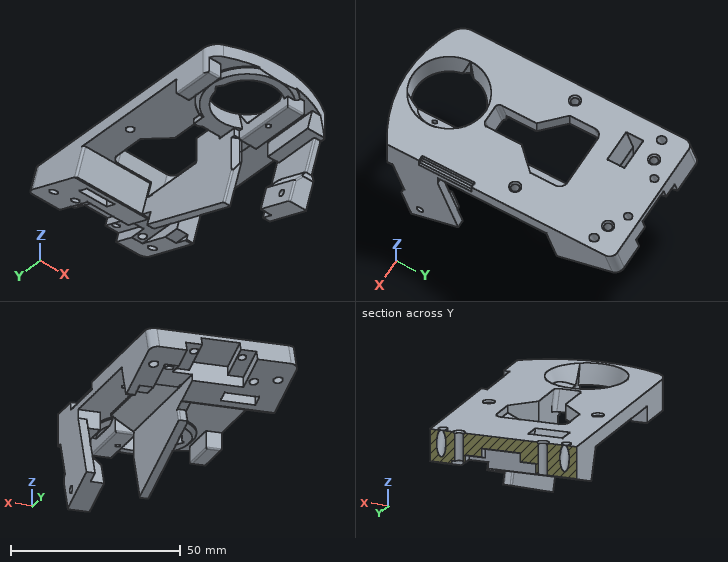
import cadquery as cq
import math

WIDTH = 46.7
LENGTH = 87.6
PLATE_THICK = 4.65
TILT_ANGLE = math.radians(20)
TILT = math.tan(TILT_ANGLE)
CUT_DEPTH = 52.6

BACK_FACE_DROP = 6.7
TOP_BACK_Y = LENGTH - BACK_FACE_DROP * TILT
BACK_CORNER_R = 2.6
FRONT_ARC_R = 43.8
FRONT_LEFT_R = 5.9

WALL_LEFT_X = 26.4
WALL_RIGHT_X = 29.3
WALL_FRONT_Y = 25.0
WALL_TIP = (29.8, -32.0)
WALL_BREAK_Z = -19.5
WALL_BACK_STEP = 3.9
WALL_EDGE_R = 0.5
LEAN_TOLERANCE = 0.02
WALL_CHAMFER_WIDTH = 2.2
WALL_CHAMFER_DEPTH = 1.3

OPENING_LEFT_X = 10.6
OPENING_RIGHT_X = 33.5
OPENING_BACK_Y = 60.1
OPENING_TAPER_Y = 49.0
OPENING_SLOT_X = 17.9
OPENING_FRONT_Y = 28.5
OPENING_BACK_R = 2.45
OPENING_FRONT_R = 1.3
SLOPE_TOP_Z = -2.3
SLOPE_RUN = OPENING_RIGHT_X - WALL_LEFT_X
SLOPE_WALL = 2.9

BORE_X = 22.0
BORE_Y = 14.3
BORE_R = 12.4
BORE_TAPER = 0.19
BOSS_R = 15.5
BOSS_CHAMFER = 1.3
BOSS_BOTTOM_Z = -6.5
LEDGE_X = 28.3
LEDGE_OUTER_X = 32.5
LEDGE_Z = -5.9
LEDGE_OUTER_Z = -3.7
LEDGE_TAPER = 0.5
LEDGE_HOLE_X = 30.3
LEDGE_HOLE_D = 1.6
BORE_CUT_DEPTH = 11.5
LIP_BACK_Y = 31.55
LIP_MARGIN = 1.75
NOTCH_DEPTH = 1.9
NOTCH_HALF_WIDTH = 2.7

BLOCK_BOTTOM_Z = -10.2
BLOCK_EDGE_R = 0.5
LEFT_BLOCK_WIDTH = 5.1
LEFT_BLOCK_BACK_Y = 21.3
LEFT_BLOCK_FRONT_Y = 7.2
MID_BLOCK_RIGHT_X = 35.0
MID_BLOCK_FRONT_Y = 3.5

LEG_LEFT_X = 39.7
LEG_WALL_X = 44.0
LEG_CAP_FRONT = (5.3, -4.4)
TAB_TIP = (15.6, -32.9)
TAB_DEPTH = 13.5
LEG_DEPTH = 17.5
LEG_EDGE_R = 0.5
TAB_HEIGHT = 12.0
TAB_SHOULDER = 9.5
TAB_BEVEL_START = 7.1
LEG_SETBACK = 1.75
LEG_LENGTH = 26.3
TAB_HOLE = (18.9, -27.8)
TAB_HOLE_D = 2.2

WEDGE_BOTTOM_Z = -14.4
WEDGE_SECTIONS = (
    (WALL_RIGHT_X, LEG_LEFT_X, -9.2),
    (LEG_LEFT_X, LEG_WALL_X, -12.9),
    (LEG_WALL_X, WIDTH, WEDGE_BOTTOM_Z),
)
WEDGE_EDGE_R = 0.7
WEDGE_FRONT_Y = 65.9
RECESS_FRONT_Y = 75.4
RECESS_STEPS = ((13.15, 35.4, 3.0), (18.05, 30.2, 5.5))

SCREW_HOLES = ((10.9, 78.2), (37.5, 78.2), (5.35, 47.7), (40.0, 47.7))
SCREW_D = 2.6
SCREW_HEAD_D = 3.7
SCREW_HEAD_ANGLE = 82
TILTED_HOLES = ((16.5, 81.6, 2.45), (31.6, 81.6, 2.45), (3.9, 76.7, 2.8), (43.1, 76.7, 2.8))
WINDOW_X = (6.9, 17.9)
WINDOW_Y = (66.25, 72.1)
WINDOW_LEAN_DEPTH = 6.6
SIDE_SLOT_X = 44.8
SIDE_SLOT_Y = (18.6, 36.6)
SIDE_SLOT_DEPTH = 1.9
SIDE_SLOT_BEVEL = 0.5


def box(x0, x1, y0, y1, z0, z1):
    """Box between two opposite corners."""
    return cq.Workplane("XY").box(x1 - x0, y1 - y0, z1 - z0, centered=False).translate((x0, y0, z0))


def side_profile(points, x0, x1):
    """Extrude a (y, z) polygon from x0 to x1."""
    return cq.Workplane("YZ").workplane(offset=x0).polyline(points).close().extrude(x1 - x0)


def lean(point, z):
    """Point at height z on the tilted line through a (y, z) point."""
    return (point[0] + (point[1] - z) * TILT, z)


def outline(depth):
    """Plate outline with an arched front, extruded down from the top face."""
    def arc_y(x):
        return FRONT_ARC_R - math.sqrt(FRONT_ARC_R**2 - (x - BORE_X) ** 2)

    body = (
        cq.Workplane("XY")
        .moveTo(0, arc_y(0))
        .threePointArc((BORE_X, 0), (WIDTH, arc_y(WIDTH)))
        .lineTo(WIDTH, LENGTH + depth)
        .lineTo(0, LENGTH + depth)
        .close()
        .extrude(-depth)
    )
    return body.edges("|Z").edges("<X").edges("<Y").fillet(FRONT_LEFT_R)


def back_envelope(depth):
    """Everything ahead of the tilted back face, with its rounded corners."""
    points = [(-LENGTH, 0), (TOP_BACK_Y, 0), lean((TOP_BACK_Y, 0), -depth), (-LENGTH, -depth)]
    return side_profile(points, 0, WIDTH).faces(">Y").edges("not |X").fillet(BACK_CORNER_R)


def wedge_profile(bottom_z):
    """Wedge outline between the tilted back, the rising bottom and a leaning front face."""
    front = (WEDGE_FRONT_Y, WEDGE_BOTTOM_Z)
    bottom_y = LENGTH - (-BACK_FACE_DROP - bottom_z) / TILT
    return [
        lean(front, 0),
        (TOP_BACK_Y, 0),
        (LENGTH, -BACK_FACE_DROP),
        (bottom_y, bottom_z),
        lean(front, bottom_z),
    ]


def inner_wall():
    """Upright wall whose lower edge steps down behind the opening."""
    notch_z = WALL_BREAK_Z + WALL_BACK_STEP
    heel_y = WALL_TIP[0] + (WALL_BREAK_Z - WALL_TIP[1]) / TILT
    heel = (heel_y, WALL_BREAK_Z)
    front_z = WALL_TIP[1] + (WALL_TIP[0] - WALL_FRONT_Y) / TILT
    points = [
        (WALL_FRONT_Y, 0),
        (WALL_FRONT_Y, front_z),
        WALL_TIP,
        heel,
        lean(heel, notch_z),
        (WEDGE_FRONT_Y, WEDGE_BOTTOM_Z),
        (WEDGE_FRONT_Y, 0),
    ]
    wall = side_profile(points, WALL_LEFT_X, WALL_RIGHT_X)
    up_the_lean = cq.Vector(0, -math.sin(TILT_ANGLE), math.cos(TILT_ANGLE))
    wall = wall.edges(cq.selectors.ParallelDirSelector(up_the_lean, LEAN_TOLERANCE)).fillet(WALL_EDGE_R)
    front_corner = (
        cq.Workplane("XY")
        .polyline(
            [
                (WALL_LEFT_X, WALL_FRONT_Y),
                (WALL_LEFT_X + WALL_CHAMFER_WIDTH, WALL_FRONT_Y),
                (WALL_LEFT_X, WALL_FRONT_Y + WALL_CHAMFER_DEPTH),
            ]
        )
        .close()
        .extrude(-CUT_DEPTH)
    )
    return wall.cut(front_corner)


def front_blocks():
    """Left corner block and the block beneath the ledge in the large hole."""
    left = box(0, LEFT_BLOCK_WIDTH, LEFT_BLOCK_FRONT_Y, LEFT_BLOCK_BACK_Y, BLOCK_BOTTOM_Z, 0)
    middle = box(LEDGE_X, MID_BLOCK_RIGHT_X, MID_BLOCK_FRONT_Y, WALL_FRONT_Y, BLOCK_BOTTOM_Z, 0)
    left = left.faces("<Z").edges().fillet(BLOCK_EDGE_R)
    middle = middle.faces("<Z").edges().fillet(BLOCK_EDGE_R)
    return left.union(middle)


def leg_point(depth, height):
    """(y, z) of a point measured back from and up along the tilted front of the tab."""
    cos_tilt = math.cos(TILT_ANGLE)
    sin_tilt = math.sin(TILT_ANGLE)
    return (
        TAB_TIP[0] + depth * cos_tilt - height * sin_tilt,
        TAB_TIP[1] + depth * sin_tilt + height * cos_tilt,
    )


def leg():
    """Thin leg under a thick cap, ending in a wide tab with a bevelled top."""
    cap = side_profile(
        [
            lean(LEG_CAP_FRONT, 0),
            lean(LEG_CAP_FRONT, BLOCK_BOTTOM_Z),
            (WALL_FRONT_Y, BLOCK_BOTTOM_Z),
            (WALL_FRONT_Y, 0),
        ],
        LEG_LEFT_X,
        WIDTH,
    )
    shin = side_profile(
        [
            leg_point(LEG_SETBACK, 0),
            leg_point(LEG_DEPTH, 0),
            leg_point(LEG_DEPTH, LEG_LENGTH),
            leg_point(LEG_SETBACK, LEG_LENGTH),
        ],
        LEG_WALL_X,
        WIDTH,
    )
    shin = shin.faces("<Y").edges("not |X").fillet(LEG_EDGE_R)
    hole = cq.Workplane("YZ").center(*TAB_HOLE).circle(TAB_HOLE_D / 2).extrude(WIDTH)
    return cap.union(shin).union(tab()).cut(hole)


def tab():
    """Wide lower end of the leg, bevelled toward the leg."""
    along = cq.Plane(
        origin=(0, *TAB_TIP),
        xDir=(1, 0, 0),
        normal=(0, -math.cos(TILT_ANGLE), -math.sin(TILT_ANGLE)),
    )
    body = (
        cq.Workplane(along)
        .polyline(
            [
                (LEG_LEFT_X, 0),
                (WIDTH, 0),
                (WIDTH, TAB_HEIGHT),
                (LEG_WALL_X, TAB_HEIGHT),
                (LEG_LEFT_X, TAB_BEVEL_START),
            ]
        )
        .close()
        .extrude(-TAB_DEPTH)
    )
    shoulder = [leg_point(0, TAB_SHOULDER), leg_point(0, TAB_HEIGHT), leg_point(LEG_SETBACK, TAB_HEIGHT)]
    body = body.faces("<Y").edges("not |X").fillet(LEG_EDGE_R)
    return body.cut(side_profile(shoulder, LEG_LEFT_X, WIDTH))


def sloping_side():
    """Solid below the opening that carries its sloping right side down to the inner wall."""
    slope_end_z = SLOPE_TOP_Z - SLOPE_RUN
    return (
        cq.Workplane("XZ")
        .polyline(
            [
                (WALL_LEFT_X, 0),
                (WALL_LEFT_X, slope_end_z),
                (WALL_RIGHT_X, slope_end_z),
                (OPENING_RIGHT_X + SLOPE_WALL, SLOPE_TOP_Z - SLOPE_WALL),
                (OPENING_RIGHT_X + SLOPE_WALL, 0),
            ]
        )
        .close()
        .extrude(WEDGE_FRONT_Y - WALL_FRONT_Y)
        .translate((0, WEDGE_FRONT_Y, 0))
    )


def opening():
    """Keyhole shaped cut, open to the left and ending on a slope at the right."""
    taper_end_y = OPENING_TAPER_Y - SLOPE_RUN
    keyhole = (
        cq.Workplane("XY")
        .polyline(
            [
                (OPENING_LEFT_X, LENGTH),
                (OPENING_RIGHT_X, LENGTH),
                (OPENING_RIGHT_X, OPENING_TAPER_Y),
                (WALL_LEFT_X, taper_end_y),
                (OPENING_SLOT_X, taper_end_y),
                (OPENING_LEFT_X, OPENING_TAPER_Y),
            ]
        )
        .close()
        .extrude(-CUT_DEPTH)
    )
    back = (OPENING_BACK_Y, 0)
    leaning_back = side_profile(
        [
            (taper_end_y, 0),
            back,
            lean(back, -CUT_DEPTH),
            (taper_end_y, -CUT_DEPTH),
        ],
        OPENING_LEFT_X,
        OPENING_RIGHT_X,
    )
    leaning_back = leaning_back.faces(">Y").edges("not |X").fillet(OPENING_BACK_R)
    above_slope = (
        cq.Workplane("XZ")
        .polyline(
            [
                (OPENING_LEFT_X, 0),
                (OPENING_RIGHT_X, 0),
                (OPENING_RIGHT_X, SLOPE_TOP_Z),
                (WALL_LEFT_X, SLOPE_TOP_Z - SLOPE_RUN),
                (WALL_LEFT_X, -CUT_DEPTH),
                (OPENING_LEFT_X, -CUT_DEPTH),
            ]
        )
        .close()
        .extrude(-LENGTH)
    )
    slot_front = (OPENING_FRONT_Y, 0)
    slot = side_profile(
        [
            slot_front,
            (taper_end_y, 0),
            (taper_end_y, BLOCK_BOTTOM_Z),
            lean(slot_front, BLOCK_BOTTOM_Z),
        ],
        OPENING_SLOT_X,
        WALL_LEFT_X,
    )
    slot = slot.faces("<Y").edges("not |X").fillet(OPENING_FRONT_R)
    return keyhole.intersect(leaning_back).intersect(above_slope).union(slot)


def cone(taper, depth):
    """Cone narrowing downward from the rim of the large hole."""
    return (
        cq.Workplane("XZ")
        .polyline([(0, 0), (BORE_R, 0), (BORE_R - taper * depth, -depth), (0, -depth)])
        .close()
        .revolve(360, (0, 0, 0), (0, 1, 0))
        .translate((BORE_X, BORE_Y, 0))
    )


def bore():
    """Large hole: a through cone at the left and a shallow drilled ledge at the right."""
    through = cone(BORE_TAPER, BORE_CUT_DEPTH)
    through = through.intersect(box(0, LEDGE_X, 0, LENGTH, -CUT_DEPTH, 0))
    ledge_slope = (LEDGE_OUTER_Z - LEDGE_Z) / (LEDGE_OUTER_X - LEDGE_X)
    rim_x = BORE_X + BORE_R
    above_ledge = (
        cq.Workplane("XZ")
        .polyline(
            [
                (LEDGE_X, 0),
                (LEDGE_X, LEDGE_Z),
                (rim_x, LEDGE_Z + ledge_slope * (rim_x - LEDGE_X)),
                (rim_x, 0),
            ]
        )
        .close()
        .extrude(-LENGTH)
    )
    ledge = cone(LEDGE_TAPER, -BLOCK_BOTTOM_Z).intersect(above_ledge)
    drain = cq.Workplane("XY").center(LEDGE_HOLE_X, BORE_Y).circle(LEDGE_HOLE_D / 2).extrude(-CUT_DEPTH)
    left_x = BORE_X - BORE_R
    notch = (
        cq.Workplane("XY")
        .polyline(
            [
                (left_x, BORE_Y),
                (left_x + NOTCH_DEPTH, BORE_Y + NOTCH_HALF_WIDTH),
                (left_x + NOTCH_DEPTH, BORE_Y - NOTCH_HALF_WIDTH),
            ]
        )
        .close()
        .extrude(-CUT_DEPTH)
    )
    return through.union(ledge).union(drain).union(notch)


def back_recess():
    """Stepped recess in the underside, its floors parallel to the rising bottom."""
    recess = cq.Workplane("XY")
    for left_x, right_x, depth in RECESS_STEPS:
        rise = depth / math.cos(TILT_ANGLE)
        start = (LENGTH + CUT_DEPTH, -BACK_FACE_DROP + CUT_DEPTH * TILT + rise)
        run = LENGTH + CUT_DEPTH - RECESS_FRONT_Y
        end = (RECESS_FRONT_Y, start[1] - run * TILT)
        step = side_profile(
            [start, end, (RECESS_FRONT_Y, -CUT_DEPTH), (start[0], -CUT_DEPTH)], left_x, right_x
        )
        recess = recess.add(step)
    return recess.combine()


def cut_plate_holes(body):
    """Cut the countersunk screw holes, the tilted holes, the window and the side slot."""
    body = (
        body.faces(">Z")
        .workplane(origin=(0, 0, 0))
        .pushPoints(SCREW_HOLES)
        .cskHole(SCREW_D, SCREW_HEAD_D, SCREW_HEAD_ANGLE)
    )
    for x, y, diameter in TILTED_HOLES:
        axis = cq.Vector(0, math.sin(TILT_ANGLE), -math.cos(TILT_ANGLE))
        start = cq.Vector(x, y, 0) - axis * diameter
        body = body.cut(cq.Workplane(cq.Solid.makeCylinder(diameter / 2, CUT_DEPTH, start, axis)))
    front_y, back_y = WINDOW_Y
    lower_front = lean((front_y, 0), -WINDOW_LEAN_DEPTH)
    window = side_profile(
        [
            (front_y, 0),
            lower_front,
            (lower_front[0], -CUT_DEPTH),
            (back_y, -CUT_DEPTH),
            (back_y, 0),
        ],
        *WINDOW_X,
    )
    slot_front_y, slot_back_y = SIDE_SLOT_Y
    side_slot = (
        cq.Workplane("XZ")
        .polyline(
            [
                (SIDE_SLOT_X, 0),
                (SIDE_SLOT_X, SIDE_SLOT_BEVEL - SIDE_SLOT_DEPTH),
                (SIDE_SLOT_X + SIDE_SLOT_BEVEL, -SIDE_SLOT_DEPTH),
                (WIDTH - SIDE_SLOT_BEVEL, -SIDE_SLOT_DEPTH),
                (WIDTH, -SIDE_SLOT_DEPTH - SIDE_SLOT_BEVEL),
                (WIDTH, 0),
            ]
        )
        .close()
        .extrude(slot_front_y - slot_back_y)
        .translate((0, slot_front_y, 0))
    )
    return body.cut(window).cut(side_slot)


def build():
    """Join the plate with everything below it, trim to the outline and make the cuts."""
    plate = box(0, WIDTH, 0, LENGTH, -PLATE_THICK, 0)
    boss = cq.Workplane("XY").center(BORE_X, BORE_Y).circle(BOSS_R).extrude(BOSS_BOTTOM_Z)
    boss = boss.faces("<Z").edges().chamfer(BOSS_CHAMFER)
    wedge = side_profile(wedge_profile(WEDGE_BOTTOM_Z), 0, WALL_RIGHT_X)
    wedge = wedge.faces("<X").edges("<Y").fillet(WEDGE_EDGE_R)
    for left_x, right_x, bottom_z in WEDGE_SECTIONS:
        wedge = wedge.union(side_profile(wedge_profile(bottom_z), left_x, right_x))
    lip = box(OPENING_SLOT_X - LIP_MARGIN, WALL_LEFT_X, BORE_Y, LIP_BACK_Y, BOSS_BOTTOM_Z, 0)
    body = plate.union(wedge).cut(back_recess()).union(boss).union(lip)
    body = body.union(inner_wall()).union(sloping_side()).union(front_blocks()).union(leg())
    body = body.intersect(outline(CUT_DEPTH)).intersect(back_envelope(CUT_DEPTH))
    body = body.cut(opening()).cut(bore())
    return cut_plate_holes(body)


result = build()